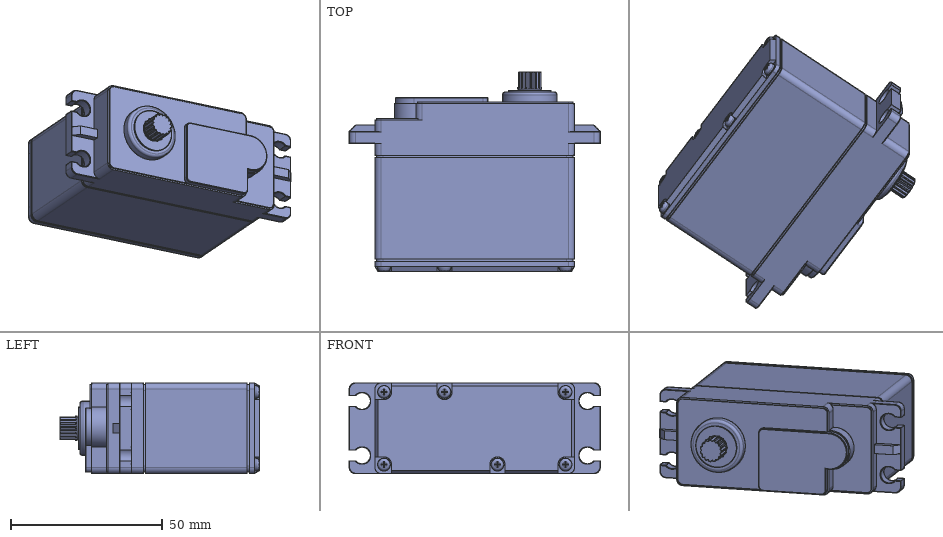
import cadquery as cq
import math


CASE_LENGTH = 66.0
CASE_WIDTH = 30.0
CASE_CORNER_RADIUS = 2.1
GROOVE_DEPTH = 0.5
STEP_INSET = 0.5
STEP_CORNER_RADIUS = 1.6

COVER_CHAMFER_HEIGHT = 1.75
COVER_CHAMFER_INSET = 1.07
COVER_TOP = 3.4
CAN_BOTTOM = 4.1
CAN_TOP = 37.75
GEARBOX_BOTTOM = 38.45
EAR_BOTTOM = 42.35
EAR_TOP = 46.3
SHOULDER_EDGE = 50.1
SHOULDER_TOP = 50.65
GEARBOX_EDGE = 55.55
GEARBOX_TOP = 56.1
RAISED_PLATE_TOP = 57.6
HUB_TOP = 59.4
HUB_DISC_TOP = 59.9
COLLAR_BOTTOM = 60.3
COLLAR_TOP = 60.85
SPLINE_TOP = 66.0

UPPER_LEFT = -19.45

EAR_SPAN = 83.0
EAR_CORNER_RADIUS = 2.1
EAR_HOLE_DIAMETER = 5.5
EAR_HOLE_X = 37.25
EAR_HOLE_Z = 9.0
EAR_SLOT_WIDTH = 3.5
EAR_EDGE_CHAMFER = 0.2
RIB_THICKNESS = 3.0
RIB_HEIGHT = 2.2

BOSS_X = -20.0
BOSS_Z = 0.45
BOSS_RADIUS = 6.6
PLATE_LOBE_RADIUS = 6.2
PLATE_RIGHT = 4.3
PLATE_EDGE_CHAMFER = 0.25

OUTPUT_X = 18.2
HUB_RADIUS = 9.0
HUB_FILLET = 1.0
HUB_DISC_RADIUS = 7.0
SPLINE_RADIUS = 3.75
SPLINE_ROOT_RADIUS = 3.2
SPLINE_CHAMFER = 0.2
COLLAR_RADIUS = 4.0
TOOTH_COUNT = 15

SCREW_X = 30.0
SCREW_Z = 12.0
TOP_SCREW_X = -10.0
BOTTOM_SCREW_X = 7.5
SCREW_POCKET_RADIUS = 2.5
SCREW_HEAD_RADIUS = 2.1
SCREW_HEAD_TOP = 0.0
SCREW_HEAD_FILLET = 1.2
CROSS_LENGTH = 2.0
CROSS_WIDTH = 0.4
CROSS_DEPTH = 0.8

CORNER_SIGNS = [(sx, sz) for sx in (-1, 1) for sz in (-1, 1)]


def box(x_min, x_max, y_min, y_max, z_min, z_max):
    size = (x_max - x_min, y_max - y_min, z_max - z_min)
    return cq.Workplane("XY").box(*size, centered=False).translate((x_min, y_min, z_min))


def cylinder(x, z, radius, y_min, y_max):
    disc = cq.Workplane("XZ").circle(radius).extrude(-(y_max - y_min))
    return disc.translate((x, y_min, z))


def case_block(y_min, y_max, inset=0.0, x_min=-CASE_LENGTH / 2, radius=CASE_CORNER_RADIUS):
    """Full-width block with rounded edges along Y, pulled in by `inset` all round."""
    half_width = CASE_WIDTH / 2 - inset
    block = box(x_min + inset, CASE_LENGTH / 2 - inset, y_min, y_max, -half_width, half_width)
    return block.edges("|Y").fillet(radius)


def build_case():
    """Stacked case sections with grooves between them and an inset step on each top face."""
    case = case_block(COVER_CHAMFER_HEIGHT, COVER_TOP)
    case = case.union(case_block(COVER_TOP, CAN_BOTTOM, GROOVE_DEPTH))
    case = case.union(case_block(CAN_BOTTOM, CAN_TOP))
    case = case.union(case_block(CAN_TOP, GEARBOX_BOTTOM, GROOVE_DEPTH))
    case = case.union(case_block(GEARBOX_BOTTOM, SHOULDER_EDGE))
    case = case.union(case_block(SHOULDER_EDGE, SHOULDER_TOP, STEP_INSET, radius=STEP_CORNER_RADIUS))
    case = case.union(case_block(SHOULDER_EDGE, GEARBOX_EDGE, x_min=UPPER_LEFT))
    upper_step = case_block(GEARBOX_EDGE, GEARBOX_TOP, STEP_INSET, UPPER_LEFT, STEP_CORNER_RADIUS)
    return case.union(upper_step)


def screw_positions():
    corners = [(sx * SCREW_X, sz * SCREW_Z) for sx, sz in CORNER_SIGNS]
    return corners + [(TOP_SCREW_X, SCREW_Z), (BOTTOM_SCREW_X, -SCREW_Z)]


def screw_pocket(x, z):
    """Round pocket left open toward the nearest long side, and at a corner toward the end too."""
    pocket = cylinder(x, z, SCREW_POCKET_RADIUS, 0, COVER_CHAMFER_HEIGHT)
    x_side = math.copysign(CASE_LENGTH / 2, x)
    z_side = math.copysign(CASE_WIDTH / 2, z)
    z_low, z_high = sorted((z, z_side))
    opening = box(
        x - SCREW_POCKET_RADIUS, x + SCREW_POCKET_RADIUS, 0, COVER_CHAMFER_HEIGHT, z_low, z_high
    )
    pocket = pocket.union(opening)
    if abs(x) == SCREW_X:
        x_low, x_high = sorted((x, x_side))
        z_inner = z - math.copysign(SCREW_POCKET_RADIUS, z)
        z_low, z_high = sorted((z_inner, z_side))
        pocket = pocket.union(box(x_low, x_high, 0, COVER_CHAMFER_HEIGHT, z_low, z_high))
    return pocket


def screw_head(x, z):
    """Domed head with a cross recess."""
    head = cylinder(x, z, SCREW_HEAD_RADIUS, SCREW_HEAD_TOP, COVER_CHAMFER_HEIGHT)
    head = head.faces("<Y").edges().fillet(SCREW_HEAD_FILLET)
    for length_x, length_z in ((CROSS_LENGTH, CROSS_WIDTH), (CROSS_WIDTH, CROSS_LENGTH)):
        slot = box(
            x - length_x / 2, x + length_x / 2,
            SCREW_HEAD_TOP, SCREW_HEAD_TOP + CROSS_DEPTH,
            z - length_z / 2, z + length_z / 2,
        )
        head = head.cut(slot)
    return head


def build_cover_plate():
    """Bevelled outer face of the cover, with a pocket and a screw head at each screw."""
    half_length = CASE_LENGTH / 2
    half_width = CASE_WIDTH / 2
    plate = (
        cq.Workplane("XZ", origin=(0, COVER_CHAMFER_HEIGHT, 0))
        .rect(CASE_LENGTH, CASE_WIDTH)
        .workplane(offset=COVER_CHAMFER_HEIGHT)
        .rect(2 * (half_length - COVER_CHAMFER_INSET), 2 * (half_width - COVER_CHAMFER_INSET))
        .loft()
    )
    for x, z in screw_positions():
        plate = plate.cut(screw_pocket(x, z))
    for x, z in screw_positions():
        plate = plate.union(screw_head(x, z))
    return plate


def build_ears():
    """Slotted ears as one plate through the case, with a bevel-ended rib along its upper face."""
    half_span = EAR_SPAN / 2
    half_width = CASE_WIDTH / 2
    ears = box(-half_span, half_span, EAR_BOTTOM, EAR_TOP, -half_width, half_width)
    ears = ears.edges("|Y").fillet(EAR_CORNER_RADIUS)
    for sx, sz in CORNER_SIGNS:
        x = sx * EAR_HOLE_X
        z = sz * EAR_HOLE_Z
        x_low, x_high = sorted((x, sx * half_span))
        half_slot = EAR_SLOT_WIDTH / 2
        ears = ears.cut(cylinder(x, z, EAR_HOLE_DIAMETER / 2, EAR_BOTTOM, EAR_TOP))
        ears = ears.cut(box(x_low, x_high, EAR_BOTTOM, EAR_TOP, z - half_slot, z + half_slot))
    ears = ears.faces(">Y").edges().chamfer(EAR_EDGE_CHAMFER)
    rib_outline = [
        (-half_span, EAR_TOP),
        (half_span, EAR_TOP),
        (half_span - RIB_HEIGHT, EAR_TOP + RIB_HEIGHT),
        (-half_span + RIB_HEIGHT, EAR_TOP + RIB_HEIGHT),
    ]
    rib = cq.Workplane("XY").polyline(rib_outline).close().extrude(RIB_THICKNESS / 2, both=True)
    return ears.union(rib)


def build_boss():
    """Rounded boss on the shoulder, capped by a plate that runs over the gearbox top."""
    boss = cylinder(BOSS_X, BOSS_Z, BOSS_RADIUS, SHOULDER_EDGE, GEARBOX_EDGE)
    lobe = cylinder(BOSS_X, BOSS_Z, PLATE_LOBE_RADIUS, GEARBOX_EDGE, RAISED_PLATE_TOP)
    plate_left = UPPER_LEFT + STEP_INSET
    plate_bottom = -CASE_WIDTH / 2 + STEP_INSET
    plate_top = BOSS_Z + PLATE_LOBE_RADIUS
    plate = box(plate_left, PLATE_RIGHT, GEARBOX_EDGE, RAISED_PLATE_TOP, plate_bottom, plate_top)
    plate = plate.edges("|Y").edges(">X or <Z").fillet(STEP_CORNER_RADIUS)
    neck = box(BOSS_X, UPPER_LEFT + 2 * STEP_INSET, GEARBOX_EDGE, RAISED_PLATE_TOP, BOSS_Z, plate_top)
    cap = plate.union(neck).union(lobe).clean()
    cap = cap.faces(">Y").edges().chamfer(PLATE_EDGE_CHAMFER)
    return boss.union(cap)


def build_output():
    """Rounded hub with a thin disc, carrying a collared shaft cut with V-shaped spline gaps."""
    hub = cylinder(OUTPUT_X, 0, HUB_RADIUS, GEARBOX_EDGE, HUB_TOP).faces(">Y").edges().fillet(HUB_FILLET)
    hub = hub.union(cylinder(OUTPUT_X, 0, HUB_DISC_RADIUS, GEARBOX_EDGE, HUB_DISC_TOP))
    shaft = cylinder(OUTPUT_X, 0, SPLINE_RADIUS, GEARBOX_EDGE, SPLINE_TOP)
    shaft = shaft.faces(">Y").edges().chamfer(SPLINE_CHAMFER)
    shaft = shaft.union(cylinder(OUTPUT_X, 0, COLLAR_RADIUS, COLLAR_BOTTOM, COLLAR_TOP))
    gap_half_width = COLLAR_RADIUS * math.tan(math.pi / TOOTH_COUNT)
    gap_outline = [
        (SPLINE_ROOT_RADIUS, 0),
        (COLLAR_RADIUS, gap_half_width),
        (COLLAR_RADIUS, -gap_half_width),
    ]
    gap_length = SPLINE_TOP - COLLAR_BOTTOM
    gap = cq.Workplane("XZ").polyline(gap_outline).close().extrude(-gap_length)
    for tooth in range(TOOTH_COUNT):
        angle = tooth * 360 / TOOTH_COUNT
        turned = gap.rotate((0, 0, 0), (0, 1, 0), angle)
        shaft = shaft.cut(turned.translate((OUTPUT_X, COLLAR_BOTTOM, 0)))
    return hub.union(shaft)


result = (
    build_case()
    .union(build_cover_plate())
    .union(build_ears())
    .union(build_boss())
    .union(build_output())
)